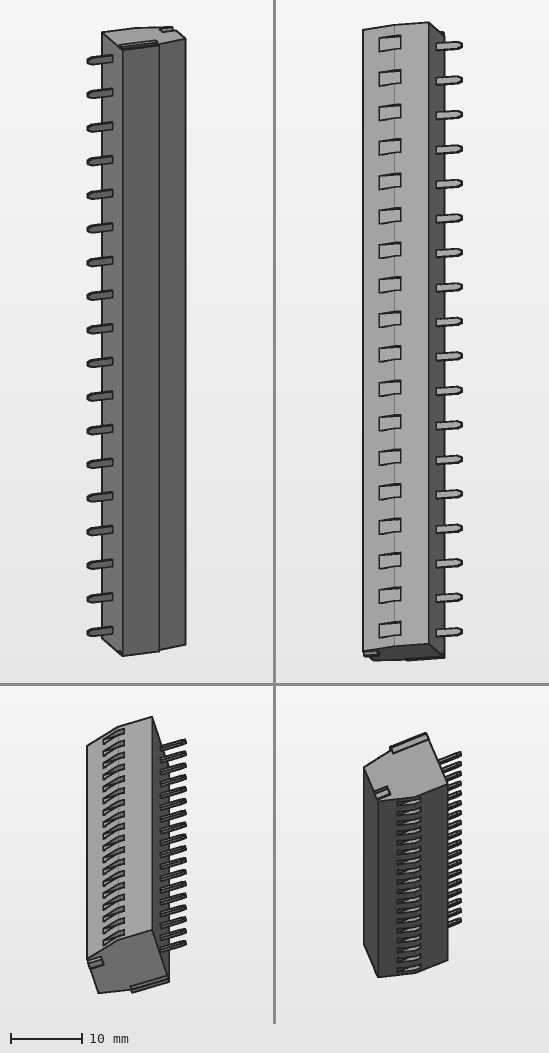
import cadquery as cq

POLES = 18
PITCH = 5.0
OVERALL_HEIGHT = 91.0
OVERALL_DEPTH = 13.65
WIDTH = 8.1
PIN_LENGTH = 3.65
DEPTH = OVERALL_DEPTH - PIN_LENGTH

RAIL_HEIGHT = 0.4
NIB_HEIGHT = 0.5
HEIGHT = OVERALL_HEIGHT - RAIL_HEIGHT - NIB_HEIGHT

LEFT = -WIDTH / 2
RIGHT = WIDTH / 2
LEFT_SHOULDER_Y = 5.0
LEFT_TAPER = 1.4
RIGHT_SHOULDER_Y = 5.5
SHOULDER_LEDGE = 0.5
RIGHT_TAPER = 1.35

RAIL_LENGTH = 5.4
RAIL_CENTER_X = RIGHT - 0.75
RAIL_ROOT_WIDTH = 0.5
RAIL_CREST_WIDTH = 0.9

NIB_LENGTH = 2.0
NIB_CENTER_X = LEFT + 2.3
NIB_ROOT_WIDTH = 1.3
NIB_CREST_WIDTH = 0.8

WINDOW_START_Y = 4.1
WINDOW_LENGTH = 3.3
WINDOW_HEIGHT = 1.95
WINDOW_DEPTH = 0.7

PIN_THICKNESS = 0.4
PIN_WIDTH = 1.0
PIN_TIP_LENGTH = 0.6
PIN_TIP_WIDTH = 0.5
PIN_EMBED = 1.0

POLE_HEIGHTS = [HEIGHT / 2 + (i - (POLES - 1) / 2) * PITCH for i in range(POLES)]


def make_housing():
    """Extrude the tapered cross-section over the full housing height."""
    outline = [
        (LEFT, 0),
        (RIGHT, 0),
        (RIGHT, RIGHT_SHOULDER_Y),
        (RIGHT - SHOULDER_LEDGE, RIGHT_SHOULDER_Y),
        (RIGHT - RIGHT_TAPER, DEPTH),
        (LEFT + LEFT_TAPER, DEPTH),
        (LEFT, LEFT_SHOULDER_Y),
    ]
    return cq.Workplane("XY").polyline(outline).close().extrude(HEIGHT)


def make_key(center_x, start_y, length, start_z, end_z, start_width, end_width):
    """Trapezoidal bar along Y whose width changes from start_z to end_z."""
    section = [
        (center_x - start_width / 2, start_z),
        (center_x + start_width / 2, start_z),
        (center_x + end_width / 2, end_z),
        (center_x - end_width / 2, end_z),
    ]
    plane = cq.Workplane("XZ", origin=(0, start_y, 0))
    return plane.polyline(section).close().extrude(-length)


def make_rail(base_z):
    """Dovetail that widens away from its root at base_z."""
    crest_z = base_z + RAIL_HEIGHT
    return make_key(RAIL_CENTER_X, 0, RAIL_LENGTH, base_z, crest_z, RAIL_ROOT_WIDTH, RAIL_CREST_WIDTH)


def make_nib(root_z):
    """Bar that narrows downward from its root at root_z."""
    crest_z = root_z - NIB_HEIGHT
    start_y = DEPTH - NIB_LENGTH
    return make_key(NIB_CENTER_X, start_y, NIB_LENGTH, root_z, crest_z, NIB_ROOT_WIDTH, NIB_CREST_WIDTH)


def make_window(center_z):
    """Rectangular pocket with a flat floor parallel to the -X side."""
    pocket = cq.Workplane("XY").box(WINDOW_DEPTH, WINDOW_LENGTH, WINDOW_HEIGHT, centered=(False, False, True))
    return pocket.translate((LEFT, WINDOW_START_Y, center_z))


def make_pin(center_z):
    """Flat pin with a tapered tip, rooted inside the housing."""
    side_z = PIN_WIDTH / 2
    tip_z = PIN_TIP_WIDTH / 2
    taper_y = PIN_TIP_LENGTH - PIN_LENGTH
    outline = [
        (PIN_EMBED, -side_z),
        (taper_y, -side_z),
        (-PIN_LENGTH, -tip_z),
        (-PIN_LENGTH, tip_z),
        (taper_y, side_z),
        (PIN_EMBED, side_z),
    ]
    pin = cq.Workplane("YZ").polyline(outline).close().extrude(PIN_THICKNESS / 2, both=True)
    return pin.translate((0, 0, center_z))


result = make_housing()
result = result.union(make_rail(HEIGHT)).cut(make_rail(0))
result = result.union(make_nib(0)).cut(make_nib(HEIGHT))
for pole_z in POLE_HEIGHTS:
    result = result.cut(make_window(pole_z))
    result = result.union(make_pin(pole_z))